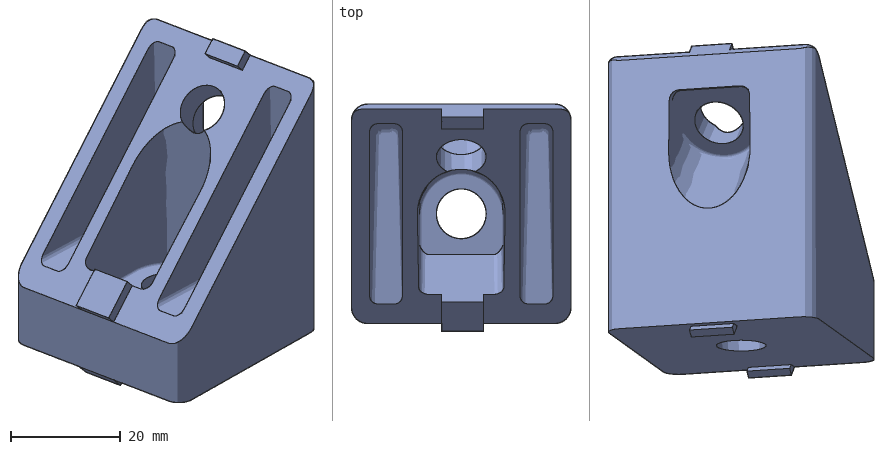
import cadquery as cq
import math

ROOT2 = math.sqrt(2)

side = 40.0
half = side / 2
front_height = 11.9
top_bevel = 0.9
edge_radius = 3.0
bevel_corner_radius = 2.2
top_y = half - top_bevel
top_z = front_height + side - top_bevel

slot_center_x = 13.7
slot_width = 6.0
slot_end = 16.4
slot_draft = 2.0
slot_corner_radius = 1.5
slot_root_radius = 2.0
slot_overrun = 2.2

bolt_radius = 4.5
pocket_radius = 7.6
pocket_draft = 1.0
pocket_end = 7.45
pocket_corner_radius = 1.9
pocket_root_radius = 0.6
pocket_reach = 38.05
base_seat_height = 10.0
slope_bolt_y = 10.3
slope_seat_depth = 5.15

slope_tab_left = -3.6
tab_right = 4.1
slope_tab_overhang = 1.4
top_tab_length = 3.15
front_tab_length = (base_seat_height - pocket_end + half - front_height) / ROOT2
base_tab_thickness = 1.5
base_tab_drop = 1.95
base_tab_pitch = 36.0


def slope_z(y):
    """Height of the sloped face at a given Y."""
    return front_height + half + y


def side_prism(points, x_min, x_max):
    """Extrude a (Y, Z) outline along X."""
    return (
        cq.Workplane("YZ", origin=(x_min, 0, 0))
        .polyline(points)
        .close()
        .extrude(x_max - x_min)
    )


def make_body():
    """Sloped block, rounded along the upright edges and along the ends of the top bevel."""
    outline = [
        (-half, 0),
        (half, 0),
        (half, top_z - top_bevel),
        (top_y, top_z),
        (-half, front_height),
    ]
    block = side_prism(outline, -half, half)
    upright_rounded = block.edges("|Z").fillet(edge_radius)
    bevel_rounded = block.edges("|(0, -1, 1)").fillet(bevel_corner_radius)
    return upright_rounded.intersect(bevel_rounded)


def make_slot(center_x):
    """Cutter for one three-cornered slot, open on the slope."""
    floor_z = slope_z(-slot_end)
    outline = [
        (-slot_end - slot_overrun, floor_z),
        (slot_end, floor_z),
        (slot_end, slope_z(slot_end) + slot_overrun),
    ]
    wedge = side_prism(outline, center_x - slot_width, center_x + slot_width)

    slope_section = cq.Plane(
        origin=(center_x, -side, slope_z(-side)), xDir=(1, 0, 0), normal=(0, 1, 1)
    )
    narrowing = math.tan(math.radians(slot_draft))
    depth = slot_end * ROOT2
    top_half = slot_width / 2 + slot_overrun * narrowing
    deep_half = slot_width / 2 - depth * narrowing
    blank = (
        cq.Workplane(slope_section)
        .polyline(
            [
                (-top_half, -slot_overrun),
                (top_half, -slot_overrun),
                (deep_half, depth),
                (-deep_half, depth),
            ]
        )
        .close()
        .extrude(2 * side * ROOT2)
    )
    deepest_edge = cq.selectors.NearestToPointSelector((center_x, slot_end, floor_z))
    slot = wedge.intersect(blank)
    slot = slot.edges("|X").edges(deepest_edge).fillet(slot_root_radius)
    return slot.faces("<Z").edges("not |X").fillet(slot_corner_radius)


def make_bolt_cut(seat, hole_length):
    """Bolt hole below the seat plane and head pocket above it; the round end is on +Y of the plane."""
    tail = -2 * pocket_reach
    pocket = (
        cq.Workplane("XY")
        .moveTo(-pocket_radius, tail)
        .lineTo(-pocket_radius, 0)
        .threePointArc((0, pocket_radius), (pocket_radius, 0))
        .lineTo(pocket_radius, tail)
        .close()
        .extrude(pocket_reach, taper=-pocket_draft)
    )
    rounded_seat = pocket.faces("<Z").edges().fillet(pocket_root_radius)

    keep = side_prism(
        [
            (-pocket_end, 0),
            (pocket_reach, 0),
            (pocket_reach, pocket_reach),
            (-pocket_end - pocket_reach, pocket_reach),
        ],
        -pocket_reach,
        pocket_reach,
    )
    pocket = pocket.intersect(keep)
    pocket = pocket.faces("<Y").edges("not |X").fillet(pocket_corner_radius)
    pocket = pocket.intersect(rounded_seat)

    hole = cq.Workplane("XY").circle(bolt_radius).extrude(-hole_length)
    return pocket.union(hole).val().moved(cq.Location(seat))


def make_slope_tab(start_y, length):
    """Tab on the slope, running up it from start_y."""
    run = length / ROOT2
    z = slope_z(start_y)
    outline = [
        (start_y, z),
        (start_y + run, z + run),
        (start_y + run - slope_tab_overhang, z + run + slope_tab_overhang),
        (start_y - slope_tab_overhang, z + slope_tab_overhang),
    ]
    return side_prism(outline, slope_tab_left, tab_right)


def make_base_tab(start_y):
    """Tab under the base, leaning back at 45 degrees."""
    step = base_tab_thickness / ROOT2
    outline = [
        (start_y, 0),
        (start_y + base_tab_drop, -base_tab_drop),
        (start_y + base_tab_drop + step, step - base_tab_drop),
        (start_y + 2 * step, 0),
    ]
    return side_prism(outline, -tab_right, tab_right)


base_seat = cq.Plane(origin=(0, 0, base_seat_height), xDir=(1, 0, 0), normal=(0, 0, 1))
seat_shift = slope_seat_depth / ROOT2
slope_seat = cq.Plane(
    origin=(0, slope_bolt_y + seat_shift, slope_z(slope_bolt_y) - seat_shift),
    xDir=(1, 0, 0),
    normal=(0, 1, -1),
)

result = make_body()
for x in (-slot_center_x, slot_center_x):
    result = result.cut(make_slot(x))
result = result.cut(cq.Workplane(make_bolt_cut(base_seat, base_seat_height)))
result = result.cut(cq.Workplane(make_bolt_cut(slope_seat, slope_seat_depth)))

top_tab_y = top_y - top_tab_length / ROOT2
result = result.union(make_slope_tab(top_tab_y, top_tab_length))
result = result.union(make_slope_tab(-half, front_tab_length))
for y in (-half, -half + base_tab_pitch):
    result = result.union(make_base_tab(y))